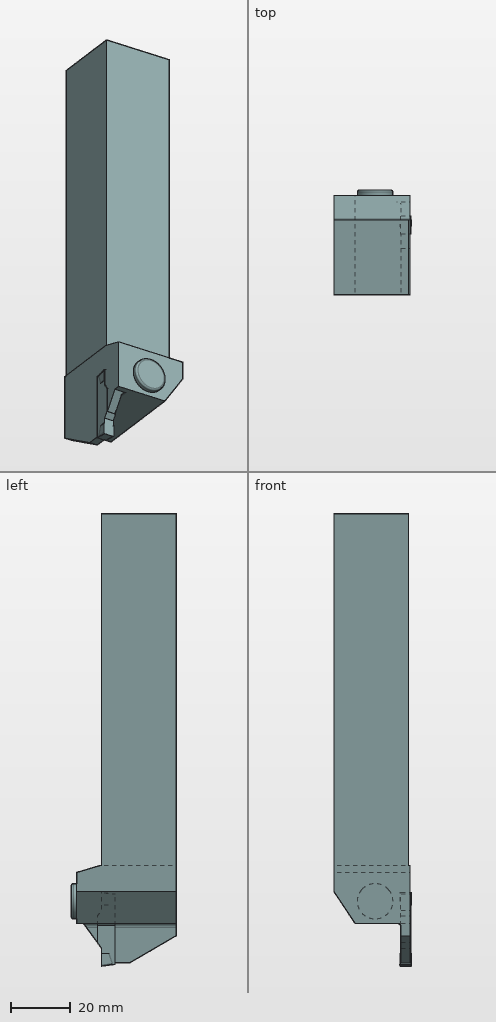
import cadquery as cq


shank_size = 25.0
tool_length = 151.35
overall_height = 35.1

head_right = 25.55
head_height = 33.3
head_bottom = 14.3
shoulder_low = 31.4
shoulder_high = 33.75
shoulder_lip = 0.4
chamfer_width = 7.1
chamfer_top = 25.0

blade_left = 22.5
blade_bottom = 1.15
blade_front_y = 15.5
blade_back_z = 10.2
blade_root_radius = 1.3

nose_y = 31.0
nose_z = head_bottom
nose_end_z = 6.0

screw_diameter = 11.86
screw_x = 13.8
screw_z = 21.75
screw_height = overall_height - head_height
screw_edge_radius = 0.7

insert_length = 24.7
insert_bottom = 20.4
insert_crown = 26.4
cutting_height = shank_size
end_clearance = 0.6
cutting_width = 4.0
waist_width = 3.44
insert_right = 26.04
insert_x = insert_right - cutting_width / 2
tip_length = 4.2
tip_corner_radius = 0.4
side_relief = 0.073
back_relief = 0.026

nose_slope = (nose_z - nose_end_z) / (nose_y - cutting_height)
crown_z = nose_end_z + nose_slope * (insert_crown - cutting_height)


def slab(points, x_start, x_end):
    """Extrude a (y, z) outline along X."""
    return cq.Workplane("YZ", origin=(x_start, 0, 0)).polyline(points).close().extrude(x_end - x_start)


def make_shank():
    blank = cq.Workplane("XY", origin=(0, 0, chamfer_top)).rect(shank_size, shank_size, centered=False)
    return blank.extrude(tool_length - chamfer_top)


def make_head():
    side = slab(
        [
            (0, blade_bottom),
            (head_height, blade_bottom),
            (head_height, shoulder_low),
            (shank_size + shoulder_lip, shoulder_high),
            (0, shoulder_high),
        ],
        0,
        head_right,
    )
    front = (
        cq.Workplane("XZ")
        .moveTo(0, shoulder_high)
        .lineTo(0, chamfer_top)
        .lineTo(chamfer_width, head_bottom)
        .lineTo(blade_left - blade_root_radius, head_bottom)
        .radiusArc((blade_left, head_bottom - blade_root_radius), blade_root_radius)
        .lineTo(blade_left, blade_bottom)
        .lineTo(head_right, blade_bottom)
        .lineTo(head_right, shoulder_high)
        .close()
        .extrude(-head_height)
    )
    return side.intersect(front)


def make_blade_trim():
    """Material removed around the blade: under its sloped back and in front of its nose."""
    under = slab(
        [(0, blade_bottom), (blade_front_y, blade_bottom), (0, blade_back_z)],
        0,
        head_right,
    )
    nose = slab(
        [
            (insert_bottom, blade_bottom),
            (head_height, blade_bottom),
            (head_height, nose_z),
            (nose_y, nose_z),
            (cutting_height, nose_end_z),
            (insert_bottom, nose_end_z),
        ],
        0,
        head_right,
    )
    return under.union(nose)


def make_screw_head():
    return (
        cq.Workplane("XZ", origin=(screw_x, head_height, screw_z))
        .circle(screw_diameter / 2)
        .extrude(-screw_height)
        .faces(">Y")
        .edges()
        .fillet(screw_edge_radius)
    )


def make_insert_slab(width):
    """Side outline of the double-ended insert, extruded to the given width."""
    outline = [
        (insert_bottom, end_clearance),
        (cutting_height, 0),
        (cutting_height, nose_end_z),
        (insert_crown, crown_z),
        (insert_crown, insert_length - crown_z),
        (cutting_height, insert_length - nose_end_z),
        (cutting_height, insert_length),
        (insert_bottom, insert_length - end_clearance),
    ]
    return slab(outline, insert_x - width / 2, insert_x + width / 2)


def tip_section(z):
    """Trapezoid of a cutting tip at height z, narrowing downwards in Y and away from the edge."""
    top = cutting_width / 2 - back_relief * (z - tip_corner_radius)
    bottom = top - side_relief * (cutting_height - insert_bottom)
    return [(-top, cutting_height), (top, cutting_height), (bottom, insert_bottom), (-bottom, insert_bottom)]


def make_tip():
    """Lower cutting tip, full width where its rounded corners end."""
    tip = (
        cq.Workplane("XY", origin=(insert_x, 0, 0))
        .polyline(tip_section(0))
        .close()
        .workplane(offset=tip_length)
        .polyline(tip_section(tip_length))
        .close()
        .loft(ruled=True)
    )
    tip = tip.intersect(make_insert_slab(cutting_width))
    return tip.faces("<Z").edges("not #Y").edges("not |X").fillet(tip_corner_radius)


def make_insert():
    lower_tip = make_tip()
    upper_tip = lower_tip.mirror("XY", (0, 0, insert_length / 2))
    return make_insert_slab(waist_width).union(lower_tip).union(upper_tip)


insert = make_insert()
holder = make_shank().union(make_head()).cut(make_blade_trim()).union(make_screw_head()).cut(insert)

result = cq.Compound.makeCompound([holder.val(), insert.val()])